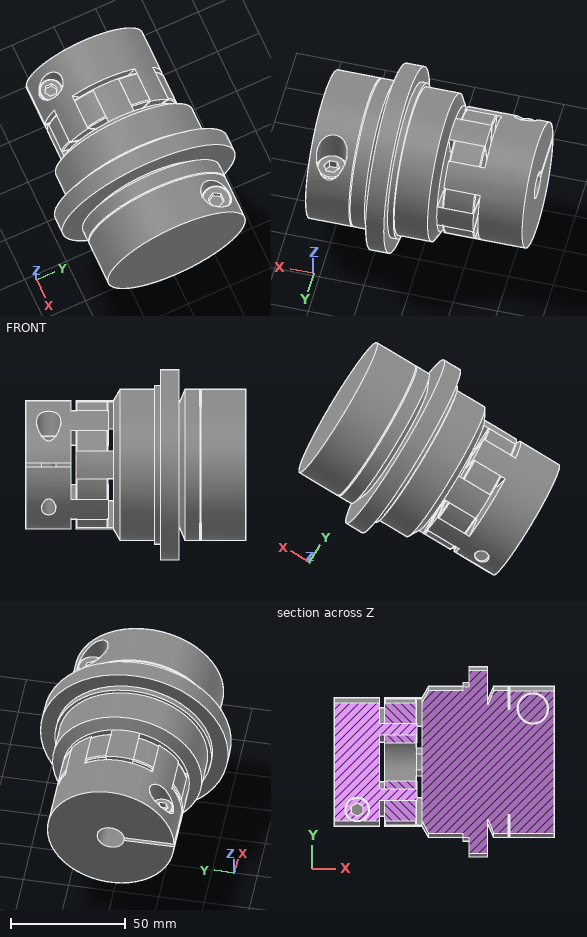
import cadquery as cq
import math


total_length = 96.0
jaw_count = 4
jaw_pitch = 360.0 / jaw_count
jaw_angle = 25.3
lobe_angle = jaw_pitch / 2 - jaw_angle
jaw_outer_radius = 28.0
jaw_inner_radius = 15.9
jaw_length = 16.3

clamp_hub_length = 19.9
bore_radius = 6.0
slit_width = 1.6

spider_start = 21.9
spider_length = 14.0
spider_bore_radius = 13.5
lobe_chamfer = 0.5

flanged_hub_start = 38.3
front_cone_end = 41.2
collar_start = 56.2
flange_start = 58.8
flange_end = 66.9
rear_cone_end = 69.5
groove_start = 75.9
groove_end = 76.5
barrel_radius = 33.0
collar_radius = 34.7
flange_diameter = 83.0
rear_cone_radius = 27.1
groove_radius = 25.3

small_screw_x = 10.1
small_screw_y = -20.7
small_recess_radius = 5.3
small_head_radius = 5.0
small_head_chamfer = 0.4
small_head_top = 12.7
small_head_height = 6.0
small_shank_radius = 3.1
small_shank_length = 20.0
small_hex_across_flats = 5.0
small_hex_turn = 30

large_screw_x = 86.6
large_screw_y = 23.3
large_recess_radius = 6.7
large_head_radius = 6.4
large_head_chamfer = 0.5
large_head_top = 15.0
large_head_height = 8.0
large_hex_across_flats = 6.0
large_hex_turn = 0

HEX_CORNER_RATIO = 2 / math.sqrt(3)


def cylinder_x(start, length, radius):
    """Cylinder on the X axis."""
    return cq.Workplane("YZ").workplane(offset=start).circle(radius).extrude(length)


def cylinder_z(x, y, bottom, height, radius):
    """Upright cylinder at a given place."""
    return cq.Workplane("XY", origin=(x, y, bottom)).circle(radius).extrude(height)


def ring_sector(start, length, inner_radius, outer_radius, middle_angle, sweep_angle):
    """Block between two radii and two radial sides, extruded along X."""

    def point(radius, angle):
        radians = math.radians(angle)
        return (radius * math.cos(radians), radius * math.sin(radians))

    first = middle_angle - sweep_angle / 2
    last = middle_angle + sweep_angle / 2
    return (
        cq.Workplane("YZ")
        .workplane(offset=start)
        .moveTo(*point(inner_radius, first))
        .lineTo(*point(outer_radius, first))
        .threePointArc(point(outer_radius, middle_angle), point(outer_radius, last))
        .lineTo(*point(inner_radius, last))
        .threePointArc(point(inner_radius, middle_angle), point(inner_radius, first))
        .close()
        .extrude(length)
    )


def add_jaws(hub, start, first_angle):
    """Add evenly spaced jaws that begin at the given station along X."""
    for index in range(jaw_count):
        angle = first_angle + index * jaw_pitch
        jaw = ring_sector(start, jaw_length, jaw_inner_radius, jaw_outer_radius, angle, jaw_angle)
        hub = hub.union(jaw)
    return hub


def screw_head(x, y, top, height, radius, chamfer, hex_across_flats, hex_turn):
    """Cylindrical screw head with a chamfered rim and a hexagon socket half its height deep."""
    head = cylinder_z(x, y, top - height, height, radius).faces(">Z").chamfer(chamfer)
    socket = (
        cq.Workplane("XY", origin=(x, y, top))
        .transformed(rotate=(0, 0, hex_turn))
        .polygon(6, hex_across_flats * HEX_CORNER_RATIO)
        .extrude(-height / 2)
    )
    return head.cut(socket)


def make_clamp_hub():
    hub = cylinder_x(0, clamp_hub_length, jaw_outer_radius)
    hub = add_jaws(hub, clamp_hub_length, jaw_pitch / 2)
    hub = hub.cut(cylinder_x(0, clamp_hub_length, bore_radius))

    slit = cq.Workplane("XY").box(
        clamp_hub_length, jaw_outer_radius, slit_width, centered=(False, False, True)
    )
    hub = hub.cut(slit.translate((0, -jaw_outer_radius, 0)))

    seat = small_head_top - small_head_height
    recess = cylinder_z(small_screw_x, small_screw_y, seat, jaw_outer_radius, small_recess_radius)
    hole = cylinder_z(small_screw_x, small_screw_y, seat, -2 * jaw_outer_radius, small_shank_radius)
    hub = hub.cut(recess).cut(hole)

    head = screw_head(
        small_screw_x,
        small_screw_y,
        small_head_top,
        small_head_height,
        small_head_radius,
        small_head_chamfer,
        small_hex_across_flats,
        small_hex_turn,
    )
    shank = cylinder_z(small_screw_x, small_screw_y, seat, -small_shank_length, small_shank_radius)
    return hub.union(head.union(shank)).solids().val()


def make_spider():
    spider = cylinder_x(spider_start, spider_length, jaw_inner_radius)
    envelope = cylinder_x(spider_start, spider_length, jaw_outer_radius).edges().chamfer(lobe_chamfer)
    lobe_count = 2 * jaw_count
    lobe_pitch = 360.0 / lobe_count
    for index in range(lobe_count):
        angle = lobe_pitch / 2 + index * lobe_pitch
        lobe = ring_sector(
            spider_start, spider_length, jaw_inner_radius, jaw_outer_radius, angle, lobe_angle
        )
        spider = spider.union(lobe.intersect(envelope))
    bore = cylinder_x(spider_start, spider_length, spider_bore_radius)
    return spider.cut(bore).solids().val()


def make_flanged_hub():
    profile = [
        (flanged_hub_start, 0),
        (flanged_hub_start, jaw_outer_radius),
        (front_cone_end, barrel_radius),
        (collar_start, barrel_radius),
        (collar_start, collar_radius),
        (flange_start, collar_radius),
        (flange_start, flange_diameter / 2),
        (flange_end, flange_diameter / 2),
        (flange_end, rear_cone_radius),
        (rear_cone_end, barrel_radius),
        (groove_start, barrel_radius),
        (groove_start, groove_radius),
        (groove_end, groove_radius),
        (groove_end, barrel_radius),
        (total_length, barrel_radius),
        (total_length, 0),
    ]
    hub = cq.Workplane("XY").polyline(profile).close().revolve(360, (0, 0, 0), (1, 0, 0))
    hub = add_jaws(hub, flanged_hub_start - jaw_length, 0)

    seat = large_head_top - large_head_height
    hub = hub.cut(cylinder_z(large_screw_x, large_screw_y, seat, barrel_radius, large_recess_radius))
    head = screw_head(
        large_screw_x,
        large_screw_y,
        large_head_top,
        large_head_height,
        large_head_radius,
        large_head_chamfer,
        large_hex_across_flats,
        large_hex_turn,
    )
    return hub.union(head).solids().val()


clamp_hub = make_clamp_hub()
spider = make_spider()
flanged_hub = make_flanged_hub()

result = cq.Compound.makeCompound([clamp_hub, spider, flanged_hub])